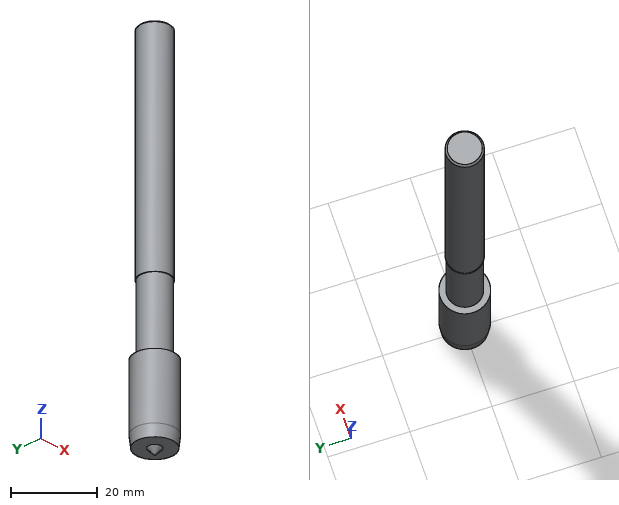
import cadquery as cq


barrel_radius = 4.55
barrel_length = 66.0
barrel_chamfer = 0.5

shaft_radius = 4.37
shaft_length = 21.0
head_radius = 6.0
head_straight_length = 19.6
head_taper_length = 3.4
head_end_radius = 5.6
tip_length = 1.92
tip_radius = tip_length

head_top = -shaft_length
taper_top = head_top - head_straight_length
head_bottom = taper_top - head_taper_length
tip_bottom = head_bottom - tip_length


def make_barrel():
    """Plain round barrel, chamfered at the top."""
    return (
        cq.Workplane("XZ")
        .moveTo(0, 0)
        .lineTo(barrel_radius, 0)
        .lineTo(barrel_radius, barrel_length - barrel_chamfer)
        .lineTo(barrel_radius - barrel_chamfer, barrel_length)
        .lineTo(0, barrel_length)
        .close()
        .revolve(360, (0, 0), (0, 1))
    )


def make_plunger():
    """Shaft, larger head with a slightly tapered end, and a conical contact point."""
    return (
        cq.Workplane("XZ")
        .moveTo(0, 0)
        .lineTo(shaft_radius, 0)
        .lineTo(shaft_radius, head_top)
        .lineTo(head_radius, head_top)
        .lineTo(head_radius, taper_top)
        .lineTo(head_end_radius, head_bottom)
        .lineTo(tip_radius, head_bottom)
        .lineTo(0, tip_bottom)
        .close()
        .revolve(360, (0, 0), (0, 1))
    )


barrel = make_barrel()
plunger = make_plunger()

result = cq.Compound.makeCompound([barrel.val(), plunger.val()])